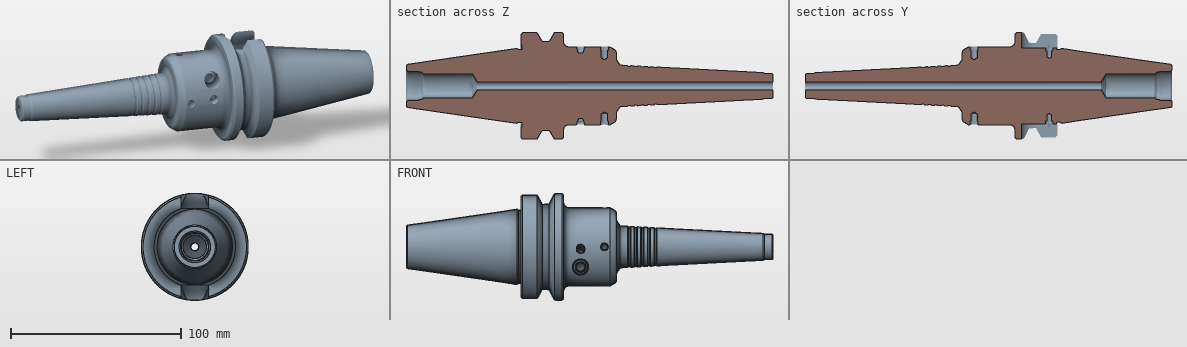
import cadquery as cq
import math

total_length = 215.5

taper_length = 64.8
taper_end_radius = 12.7
taper_slope = 7 / 48
taper_end_chamfer = 0.6
relief_start = 66.0
relief_radius = 21.5

flange_start = 67.2
flange_end = 92.5
flange_radius = 31.5
flange_chamfer = 1.0
face_recess_radius = 24.0
face_recess_depth = 0.6
groove_middle = 81.9
groove_floor_width = 4.0
groove_floor_radius = 26.3
groove_flank_angle = 30.0

body_radius = 23.0
body_end = 123.5
body_root_fillet = 3.0
body_cone_start = 119.5
body_cone_angle = 30.0
body_edge_fillet = 2.4
collar_radius = 15.5
collar_end = 125.5

nose_slope = math.tan(math.radians(3.0))
nose_end = 209.4
nose_end_radius = 8.0
tip_start = 210.2
tip_radius = 7.5
tip_chamfer = 0.6

ring_count = 5
ring_first = 129.9
ring_pitch = 3.9
ring_width = 2.0
ring_floor_width = 0.9
ring_depth = 0.5

mouth_radius = 9.3
counterbore_radius = 8.5
counterbore_depth = 7.3
thread_entry_radius = 8.0
thread_entry_length = 1.7
thread_radius = 7.0
thread_end = 38.8
coolant_diameter = 4.5

slot_width = 16.2
slot_floor = 22.5
slot_end = 88.3

drill_point_angle = 118.0
cutter_overrun = 6.5
slot_screw_x = 72.2
slot_screw = dict(entry=4.0, core=2.4, entry_depth=1.7, depth=5.4)
balance_screw_x = 116.3
balance_screw = dict(entry=4.5, core=3.5, entry_depth=2.2, depth=6.5)
clamp_x = 102.3
clamp_offset = 11.8
clamp_entry_diameter = 9.5
clamp_entry_depth = 6.5
clamp_rim_diameter = 8.5
clamp_rim_top_diameter = 6.2
clamp_rim_height = 1.0
clamp_socket_diameter = 5.0
clamp_socket_depth = 9.7
pin_offset = 1.0
pin_tilt = 20.0
pin_screw = dict(entry=5.0, core=3.5, entry_depth=3.0, depth=6.5)


def turned(points):
    """Revolve a closed (x, radius) outline about the X axis."""
    return cq.Workplane("XY").polyline(points).close().revolve(360, (0, 0, 0), (1, 0, 0))


def nose_radius(x):
    return nose_end_radius + (nose_end - x) * nose_slope


def tapered_shank():
    taper_big_radius = taper_end_radius + taper_length * taper_slope
    recess_floor = flange_start + face_recess_depth
    chamfer_radius = taper_end_radius + taper_end_chamfer * taper_slope
    return turned([
        (0, 0),
        (0, taper_end_radius - taper_end_chamfer),
        (taper_end_chamfer, chamfer_radius),
        (taper_length, taper_big_radius),
        (relief_start, relief_radius),
        (recess_floor, relief_radius),
        (recess_floor, 0),
    ])


def flange():
    recess_floor = flange_start + face_recess_depth
    half_floor = groove_floor_width / 2
    half_mouth = half_floor + (flange_radius - groove_floor_radius) * math.tan(math.radians(groove_flank_angle))
    edge_radius = flange_radius - flange_chamfer
    return turned([
        (recess_floor, 0),
        (recess_floor, face_recess_radius),
        (flange_start, face_recess_radius),
        (flange_start, edge_radius),
        (flange_start + flange_chamfer, flange_radius),
        (groove_middle - half_mouth, flange_radius),
        (groove_middle - half_floor, groove_floor_radius),
        (groove_middle + half_floor, groove_floor_radius),
        (groove_middle + half_mouth, flange_radius),
        (flange_end - flange_chamfer, flange_radius),
        (flange_end, edge_radius),
        (flange_end, 0),
    ])


def body():
    """Cylinder with a hollow root fillet and a coned, rounded far edge."""
    angle = math.radians(body_cone_angle)
    root_centre_x = flange_end + body_root_fillet
    root_centre_r = body_radius + body_root_fillet
    diagonal = body_root_fillet * math.sqrt(0.5)

    edge_centre_x = body_end - body_edge_fillet
    tangent_x = edge_centre_x + body_edge_fillet * math.sin(angle)
    tangent_r = body_radius - (tangent_x - body_cone_start) * math.tan(angle)
    edge_centre_r = tangent_r - body_edge_fillet * math.cos(angle)
    middle_angle = (math.pi / 2 - angle) / 2
    edge_middle = (
        edge_centre_x + body_edge_fillet * math.cos(middle_angle),
        edge_centre_r + body_edge_fillet * math.sin(middle_angle),
    )
    outline = (
        cq.Workplane("XY")
        .moveTo(flange_end, 0)
        .lineTo(flange_end, root_centre_r)
        .threePointArc((root_centre_x - diagonal, root_centre_r - diagonal), (root_centre_x, body_radius))
        .lineTo(body_cone_start, body_radius)
        .lineTo(tangent_x, tangent_r)
        .threePointArc(edge_middle, (body_end, edge_centre_r))
        .lineTo(body_end, 0)
        .close()
    )
    return outline.revolve(360, (0, 0, 0), (1, 0, 0))


def nose():
    return turned([
        (body_end, 0),
        (body_end, collar_radius),
        (collar_end, nose_radius(collar_end)),
        (nose_end, nose_end_radius),
        (tip_start, tip_radius),
        (total_length - tip_chamfer, tip_radius),
        (total_length, tip_radius - tip_chamfer),
        (total_length, 0),
    ])


def ring_groove(start):
    end = start + ring_width
    wall = (ring_width - ring_floor_width) / 2
    clear_radius = nose_radius(start) + ring_depth
    return turned([
        (start, clear_radius),
        (start, nose_radius(start)),
        (start + wall, nose_radius(start + wall) - ring_depth),
        (end - wall, nose_radius(end - wall) - ring_depth),
        (end, nose_radius(end)),
        (end, clear_radius),
    ])


def axial_bore():
    coolant_radius = coolant_diameter / 2
    mouth_chamfer = mouth_radius - counterbore_radius
    thread_start = counterbore_depth + thread_entry_length
    thread_chamfer = thread_entry_radius - thread_radius
    point_length = (thread_radius - coolant_radius) / math.tan(math.radians(drill_point_angle / 2))
    return turned([
        (0, 0),
        (0, mouth_radius),
        (mouth_chamfer, counterbore_radius),
        (counterbore_depth, counterbore_radius),
        (counterbore_depth, thread_entry_radius),
        (thread_start, thread_entry_radius),
        (thread_start + thread_chamfer, thread_radius),
        (thread_end, thread_radius),
        (thread_end + point_length, coolant_radius),
        (total_length, coolant_radius),
        (total_length, 0),
    ])


def drive_slot():
    """Round-ended slot at +Z open towards the taper."""
    radius = slot_width / 2
    start = taper_length
    height = flange_radius
    straight = slot_end - radius - start
    return (
        cq.Workplane("XY", origin=(start, 0, slot_floor))
        .moveTo(0, -radius)
        .lineTo(straight, -radius)
        .threePointArc((straight + radius, 0), (straight, radius))
        .lineTo(0, radius)
        .close()
        .extrude(height)
    )


def drilled(outline):
    """Hole cutter going down from Z = 0; outline is (radius, depth) points and ends in a drill point."""
    first_radius = outline[0][0]
    last_radius, last_depth = outline[-1]
    point_depth = last_depth + last_radius / math.tan(math.radians(drill_point_angle / 2))
    points = [(0, cutter_overrun), (first_radius, cutter_overrun)]
    points += [(radius, -depth) for radius, depth in outline]
    points.append((0, -point_depth))
    return cq.Workplane("XZ").polyline(points).close().revolve(360, (0, 0, 0), (0, 1, 0))


def screw_hole(entry, core, entry_depth, depth):
    return drilled([(entry / 2, entry_depth), (core / 2, entry_depth), (core / 2, depth)])


def about_axis(cutter, angle):
    return cutter.rotate((0, 0, 0), (1, 0, 0), angle)


def clamp_hole():
    """Hole along Y, below the axis, entering from -Y; a bevelled socket screw stands on its floor."""
    surface = math.sqrt(body_radius**2 - clamp_offset**2)
    rim_top = clamp_entry_depth - clamp_rim_height
    cutter = drilled([
        (clamp_entry_diameter / 2, clamp_entry_depth),
        (clamp_rim_diameter / 2, clamp_entry_depth),
        (clamp_rim_top_diameter / 2, rim_top),
        (clamp_socket_diameter / 2, rim_top),
        (clamp_socket_diameter / 2, clamp_socket_depth),
    ])
    return about_axis(cutter, 90).translate((clamp_x, -surface, -clamp_offset))


def pin_hole():
    """Small hole entering from -Y and leaning towards the clamp hole."""
    surface = math.sqrt(body_radius**2 - pin_offset**2)
    return about_axis(screw_hole(**pin_screw), 90 - pin_tilt).translate((clamp_x, -surface, -pin_offset))


result = tapered_shank().union(flange()).union(body()).union(nose())
result = result.cut(axial_bore())

for index in range(ring_count):
    result = result.cut(ring_groove(ring_first + index * ring_pitch))

for angle in (0, 180):
    slot_hole = screw_hole(**slot_screw).translate((slot_screw_x, 0, slot_floor))
    for cutter in (drive_slot(), clamp_hole(), pin_hole()):
        result = result.cut(about_axis(cutter, angle))
    result = result.cut(about_axis(slot_hole, angle))

for angle in (0, 90, 180, 270):
    balance_hole = screw_hole(**balance_screw).translate((balance_screw_x, 0, body_radius))
    result = result.cut(about_axis(balance_hole, angle))